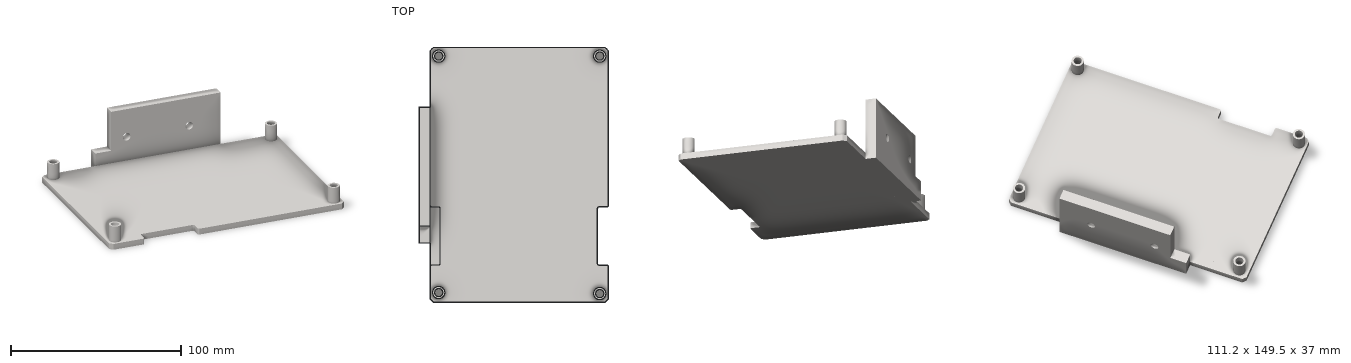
import cadquery as cq

plate_width = 104.7
plate_length = 149.5
plate_thickness = 3.7
corner_cut = 2.0

notch_start = 21.8
notch_length = 34.1
left_notch_depth = 6.0
right_notch_depth = 6.5
notch_radius = 1.0

post_diameter = 7.2
post_bore = 4.8
post_top = 13.9
post_inset = 5.1
front_left_post_y = 5.7
post_centers = [
    (post_inset, front_left_post_y),
    (plate_width - post_inset, post_inset),
    (post_inset, plate_length - post_inset),
    (plate_width - post_inset, plate_length - post_inset),
]

bracket_thickness = 6.5
bracket_start = 34.7
bracket_length = 79.9
bracket_height = 37.0
step_length = 10.0
step_height = 11.8
bracket_hole_diameter = 4.8
bracket_hole_z = 19.0
bracket_hole_spacing = bracket_length / 2


def notch_shape(edge_x, inward, depth):
    """Notch volume with rounded inner corners and a mouth flared by rounded outer corners.

    inward is +1 when the plate lies on the +X side of the edge, -1 otherwise.
    """
    r = notch_radius
    diagonal = r * (1 - 0.5 ** 0.5)
    low = notch_start
    high = notch_start + notch_length

    def at(distance, y):
        return (edge_x + inward * distance, y)

    return (
        cq.Workplane("XY")
        .moveTo(*at(0, low - r))
        .threePointArc(at(diagonal, low - diagonal), at(r, low))
        .lineTo(*at(depth - r, low))
        .threePointArc(at(depth - diagonal, low + diagonal), at(depth, low + r))
        .lineTo(*at(depth, high - r))
        .threePointArc(at(depth - diagonal, high - diagonal), at(depth - r, high))
        .lineTo(*at(r, high))
        .threePointArc(at(diagonal, high + diagonal), at(0, high + r))
        .close()
        .extrude(plate_thickness)
    )


def make_plate():
    """Base plate with cut corners, two edge notches and four standoffs."""
    plate = (
        cq.Workplane("XY")
        .rect(plate_width, plate_length, centered=False)
        .extrude(plate_thickness)
        .edges("|Z")
        .chamfer(corner_cut)
    )
    plate = plate.cut(notch_shape(0, 1, left_notch_depth))
    plate = plate.cut(notch_shape(plate_width, -1, right_notch_depth))

    posts = (
        cq.Workplane("XY", origin=(0, 0, plate_thickness))
        .pushPoints(post_centers)
        .circle(post_diameter / 2)
        .circle(post_bore / 2)
        .extrude(post_top - plate_thickness)
    )
    return plate.union(posts)


def make_bracket():
    """Stepped upright wall with two through holes and a tab filling the left notch."""
    step_end = bracket_start + step_length
    bracket_end = bracket_start + bracket_length
    wall = (
        cq.Workplane("YZ")
        .polyline([
            (bracket_start, 0),
            (bracket_end, 0),
            (bracket_end, bracket_height),
            (step_end, bracket_height),
            (step_end, step_height),
            (bracket_start, step_height),
        ])
        .close()
        .extrude(-bracket_thickness)
    )
    middle_y = bracket_start + bracket_length / 2
    holes = (
        cq.Workplane("YZ")
        .pushPoints([
            (middle_y - bracket_hole_spacing / 2, bracket_hole_z),
            (middle_y + bracket_hole_spacing / 2, bracket_hole_z),
        ])
        .circle(bracket_hole_diameter / 2)
        .extrude(-bracket_thickness)
    )
    return wall.cut(holes).union(notch_shape(0, 1, left_notch_depth))


plate = make_plate()
bracket = make_bracket()

result = cq.Compound.makeCompound([plate.val(), bracket.val()])